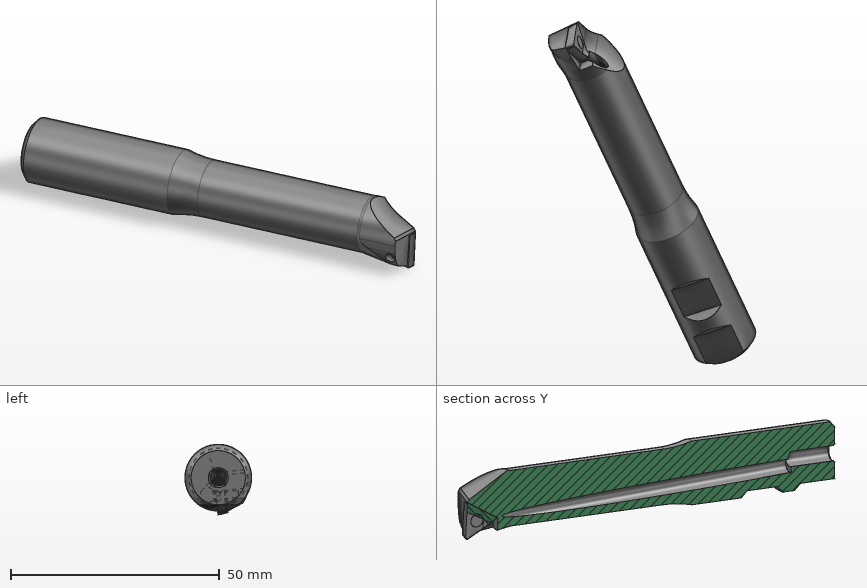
import cadquery as cq
import math

LENGTH = 100.0
AXIS_X = (1, 0, 0)

SHANK_RADIUS = 8.0
SHANK_END = 38.9
END_CHAMFER_LENGTH = 1.3
END_CHAMFER_HEIGHT = 1.5

FLAT_DEPTH = 1.6
FLAT_Z = FLAT_DEPTH - SHANK_RADIUS
REAR_FLAT_END = 9.4
FRONT_FLAT_START = 15.7
FRONT_FLAT_END = 23.9

COOLANT_RADIUS = 2.0
COOLANT_DEPTH = 12.0
COOLANT_CHAMFER = 0.4
DRILL_POINT_ANGLE = 118.0

DUCT_RADIUS = 1.8
DUCT_START = (COOLANT_DEPTH, 0.0, -1.6)
DUCT_END = (93.0, 2.6, -4.2)

NECK_RADIUS = 7.0
NECK_START = 46.4
STEP = SHANK_RADIUS - NECK_RADIUS
TRANSITION_LENGTH = NECK_START - SHANK_END
TRANSITION_RADIUS = (TRANSITION_LENGTH**2 + STEP**2) / (2 * STEP)

HEAD_RADIUS = 7.1
HEAD_DROP = 2.1
FLARE_START = 88.2
FLARE_ANGLE = 9.0
HEAD_SLOPE_START = 89.0
HEAD_SLOPE_ANGLE = 30.0
NOSE_X = 98.2
NOSE_ANGLE = 12.0
NOSE_CHAMFER = 0.5
BELLY_Y = -5.2
BELLY_Z = -6.4
BELLY_ANGLE = 28.0

INSERT_EDGE = 9.6
INSERT_CORNER_RADIUS = 0.4
INSERT_THICKNESS = 2.4
INSERT_CLEARANCE = 7.0
INSERT_CORNER_ANGLE = 60.0
INSERT_DEPTH = INSERT_EDGE * math.sqrt(3) / 2
INSERT_INRADIUS = INSERT_DEPTH / 3
TIP_Z = -8.9
CORNER_SETBACK = INSERT_CORNER_RADIUS * (math.sqrt(3) - 1)
INSERT_CENTRE_X = LENGTH - INSERT_INRADIUS
INSERT_CENTRE_Z = TIP_Z - CORNER_SETBACK + INSERT_EDGE / 2

TILT_ABOUT_Z = -3.0
TILT_ABOUT_X = -6.0

SCREW_RADIUS = 0.8
SCREW_HEAD_RADIUS = 1.6
SCREW_HEAD_HEIGHT = 1.2
SCREW_LENGTH = 5.5
SCREW_HOLE_RADIUS = 1.2

POCKET_FLOOR_START = 95.5
POCKET_BLEND_RADIUS = 8.0
POCKET_RAMP_ANGLE = 30.0

REACH = 30.0


def tan(angle):
    return math.tan(math.radians(angle))


def tilt(body):
    """Turn a body about the cutting tip into the inclined frame of the insert."""
    tip = cq.Vector(LENGTH, 0, TIP_Z)
    turned = body.rotate(tip, tip + cq.Vector(0, 0, 1), TILT_ABOUT_Z)
    return turned.rotate(tip, tip + cq.Vector(*AXIS_X), TILT_ABOUT_X)


def make_insert_blank():
    """Triangle tapering from its rake face at y = 0, one edge upright at the front."""
    half_edge = INSERT_EDGE / 2
    outline = (
        cq.Sketch()
        .polygon(
            [
                (LENGTH, INSERT_CENTRE_Z - half_edge),
                (LENGTH, INSERT_CENTRE_Z + half_edge),
                (LENGTH - INSERT_DEPTH, INSERT_CENTRE_Z),
                (LENGTH, INSERT_CENTRE_Z - half_edge),
            ]
        )
        .vertices()
        .fillet(INSERT_CORNER_RADIUS)
    )
    return cq.Workplane("XZ").placeSketch(outline).extrude(INSERT_THICKNESS, taper=INSERT_CLEARANCE)


def make_screw():
    """Countersunk head flush with the rake face, plain shank toward -Y."""
    return (
        cq.Workplane("XY", origin=(INSERT_CENTRE_X, 0, INSERT_CENTRE_Z))
        .lineTo(SCREW_HEAD_RADIUS, 0)
        .lineTo(SCREW_RADIUS, -SCREW_HEAD_HEIGHT)
        .lineTo(SCREW_RADIUS, -SCREW_LENGTH)
        .lineTo(0, -SCREW_LENGTH)
        .close()
        .revolve(360, (0, 0, 0), (0, 1, 0))
    )


def make_bar():
    """Turned shank, transition and neck."""
    half = TRANSITION_LENGTH / 2
    arc_middle = (
        SHANK_END + half,
        NECK_RADIUS + TRANSITION_RADIUS - math.sqrt(TRANSITION_RADIUS**2 - half**2),
    )
    return (
        cq.Workplane("XY")
        .lineTo(0, SHANK_RADIUS - END_CHAMFER_HEIGHT)
        .lineTo(END_CHAMFER_LENGTH, SHANK_RADIUS)
        .lineTo(SHANK_END, SHANK_RADIUS)
        .threePointArc(arc_middle, (NECK_START, NECK_RADIUS))
        .lineTo(FLARE_START, NECK_RADIUS)
        .lineTo(FLARE_START, 0)
        .close()
        .revolve(360, (0, 0, 0), AXIS_X)
    )


def make_flat_cutter(start, end):
    """Cutter under the shank whose ends slope outward at 45 degrees."""
    return (
        cq.Workplane("XZ")
        .moveTo(start, FLAT_Z)
        .lineTo(end, FLAT_Z)
        .lineTo(end + SHANK_RADIUS, FLAT_Z - SHANK_RADIUS)
        .lineTo(start - SHANK_RADIUS, FLAT_Z - SHANK_RADIUS)
        .close()
        .extrude(SHANK_RADIUS, both=True)
    )


def make_coolant_hole():
    return (
        cq.Workplane("XY")
        .lineTo(0, COOLANT_RADIUS + COOLANT_CHAMFER)
        .lineTo(COOLANT_CHAMFER, COOLANT_RADIUS)
        .lineTo(COOLANT_DEPTH, COOLANT_RADIUS)
        .lineTo(COOLANT_DEPTH + COOLANT_RADIUS / tan(DRILL_POINT_ANGLE / 2), 0)
        .close()
        .revolve(360, (0, 0, 0), AXIS_X)
    )


def make_coolant_duct():
    start = cq.Vector(*DUCT_START)
    path = cq.Vector(*DUCT_END) - start
    return cq.Workplane(cq.Plane(start, normal=path)).circle(DUCT_RADIUS).extrude(path.Length)


def make_head_blank():
    """Upright oblong bar trimmed by a cone that flares out of the neck."""
    head_length = LENGTH - FLARE_START
    oblong = (
        cq.Workplane("YZ", origin=(FLARE_START, 0, 0))
        .moveTo(-HEAD_RADIUS, 0)
        .threePointArc((0, HEAD_RADIUS), (HEAD_RADIUS, 0))
        .lineTo(HEAD_RADIUS, -HEAD_DROP)
        .threePointArc((0, -HEAD_DROP - HEAD_RADIUS), (-HEAD_RADIUS, -HEAD_DROP))
        .close()
        .extrude(head_length)
    )
    flare = (
        cq.Workplane("XY")
        .moveTo(FLARE_START, 0)
        .lineTo(FLARE_START, NECK_RADIUS)
        .lineTo(LENGTH, NECK_RADIUS + head_length * tan(FLARE_ANGLE))
        .lineTo(LENGTH, 0)
        .close()
        .revolve(360, (0, 0, 0), AXIS_X)
    )
    return oblong.intersect(flare)


def make_belly_cutter():
    """Flat along the lower front side of the head."""
    return (
        cq.Workplane("YZ", origin=(FLARE_START, 0, 0))
        .moveTo(BELLY_Y - REACH, BELLY_Z + REACH * tan(BELLY_ANGLE))
        .lineTo(BELLY_Y + REACH, BELLY_Z - REACH * tan(BELLY_ANGLE))
        .lineTo(BELLY_Y - REACH, BELLY_Z - REACH * tan(BELLY_ANGLE))
        .close()
        .extrude(REACH)
    )


def make_chip_pocket():
    """Flat floor level with the rake face, rising rearward through an arc to a ramp."""
    angle = math.radians(POCKET_RAMP_ANGLE)
    half_angle = angle / 2
    arc_middle = (
        POCKET_FLOOR_START - POCKET_BLEND_RADIUS * math.sin(half_angle),
        POCKET_BLEND_RADIUS * (1 - math.cos(half_angle)),
    )
    ramp_x = POCKET_FLOOR_START - POCKET_BLEND_RADIUS * math.sin(angle)
    ramp_y = POCKET_BLEND_RADIUS * (1 - math.cos(angle))
    pocket = (
        cq.Workplane("XY")
        .moveTo(LENGTH + REACH, 0)
        .lineTo(POCKET_FLOOR_START, 0)
        .threePointArc(arc_middle, (ramp_x, ramp_y))
        .lineTo(ramp_x - REACH, ramp_y + REACH * tan(POCKET_RAMP_ANGLE))
        .lineTo(LENGTH + REACH, ramp_y + REACH * tan(POCKET_RAMP_ANGLE))
        .close()
        .extrude(REACH, both=True)
    )
    return tilt(pocket)


def make_seat_relief():
    """Clears the holder below the insert, down to the level of the seat."""
    apex_x = LENGTH - INSERT_DEPTH
    run = LENGTH + REACH - apex_x
    low_z = INSERT_CENTRE_Z - run * tan(INSERT_CORNER_ANGLE / 2)
    relief = (
        cq.Workplane("XZ", origin=(0, REACH, 0))
        .moveTo(apex_x, INSERT_CENTRE_Z)
        .lineTo(LENGTH + REACH, low_z)
        .lineTo(apex_x, low_z)
        .close()
        .extrude(REACH + INSERT_THICKNESS)
    )
    return tilt(relief)


def make_screw_hole():
    """Clearance hole on the insert centre line, right through to the -Y side."""
    hole = (
        cq.Workplane("XZ")
        .center(INSERT_CENTRE_X, INSERT_CENTRE_Z)
        .circle(SCREW_HOLE_RADIUS)
        .extrude(REACH)
    )
    return tilt(hole)


def make_slope_cutter():
    """Everything above the sloping top of the head."""
    run = LENGTH + REACH - HEAD_SLOPE_START
    return (
        cq.Workplane("XZ")
        .moveTo(HEAD_SLOPE_START, HEAD_RADIUS)
        .lineTo(HEAD_SLOPE_START + run, HEAD_RADIUS - run * tan(HEAD_SLOPE_ANGLE))
        .lineTo(HEAD_SLOPE_START + run, HEAD_RADIUS)
        .close()
        .extrude(REACH, both=True)
    )


def make_nose_cutter():
    """Everything in front of the slanted end of the head."""
    lean = REACH * tan(NOSE_ANGLE)
    return (
        cq.Workplane("XY")
        .moveTo(NOSE_X - lean, -HEAD_RADIUS - REACH)
        .lineTo(NOSE_X + lean, -HEAD_RADIUS + REACH)
        .lineTo(LENGTH + REACH, -HEAD_RADIUS + REACH)
        .lineTo(LENGTH + REACH, -HEAD_RADIUS - REACH)
        .close()
        .extrude(REACH, both=True)
    )


def make_head():
    """Trimmed head with a chamfer between its sloping top and its slanted end."""
    head = make_head_blank()
    head = head.cut(make_belly_cutter())
    head = head.cut(make_slope_cutter())
    head = head.cut(make_nose_cutter())
    nose_top_z = HEAD_RADIUS - (NOSE_X - HEAD_SLOPE_START) * tan(HEAD_SLOPE_ANGLE)
    top_of_nose = (NOSE_X, -HEAD_RADIUS / 2, nose_top_z)
    nose_edge = head.edges(cq.selectors.NearestToPointSelector(top_of_nose))
    return nose_edge.chamfer(NOSE_CHAMFER)


def make_holder(insert_blank):
    holder = make_bar().union(make_head())
    holder = holder.cut(make_flat_cutter(-SHANK_RADIUS, REAR_FLAT_END))
    holder = holder.cut(make_flat_cutter(FRONT_FLAT_START, FRONT_FLAT_END))
    holder = holder.cut(make_coolant_hole())
    holder = holder.cut(make_coolant_duct())
    holder = holder.cut(make_chip_pocket())
    holder = holder.cut(make_seat_relief())
    holder = holder.cut(insert_blank)
    return holder.cut(make_screw_hole())


insert_blank = tilt(make_insert_blank())
screw = tilt(make_screw())
insert = insert_blank.cut(screw)
holder = make_holder(insert_blank)

result = cq.Compound.makeCompound([holder.val(), insert.val(), screw.val()])